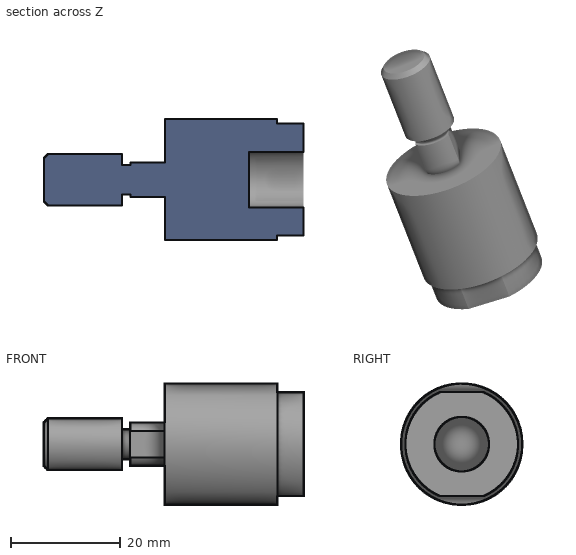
import cadquery as cq

total_length = 47.6
stud_end = 14.4
neck_end = 15.8
shaft_end = 22.15
body_end = 42.75

stud_diameter = 9.52
stud_chamfer = 0.8
neck_diameter = 5.52
shaft_diameter = 8.0
shaft_across_flats = 6.4
body_diameter = 22.25
cap_diameter = 20.6
cap_across_flats = 19.05

bore_diameter = 10.0
bore_depth = bore_diameter


def cylinder(start, end, diameter):
    """Cylinder along X between two stations."""
    return cq.Workplane("YZ", origin=(start, 0, 0)).circle(diameter / 2).extrude(end - start)


def flatted_cylinder(start, end, diameter, width_y, width_z):
    """Cylinder along X trimmed to a centred rectangle in Y and Z."""
    envelope = cq.Workplane("YZ", origin=(start, 0, 0)).rect(width_y, width_z).extrude(end - start)
    return cylinder(start, end, diameter).intersect(envelope)


stud = cylinder(0, stud_end, stud_diameter).faces("<X").chamfer(stud_chamfer)
neck = cylinder(stud_end, neck_end, neck_diameter)

shaft = flatted_cylinder(neck_end, shaft_end, shaft_diameter, shaft_across_flats, shaft_diameter)
body = cylinder(shaft_end, body_end, body_diameter)
cap = flatted_cylinder(body_end, total_length, cap_diameter, cap_diameter, cap_across_flats)
bore = cylinder(total_length - bore_depth, total_length, bore_diameter)

result = stud.union(neck).union(shaft).union(body).union(cap).cut(bore)